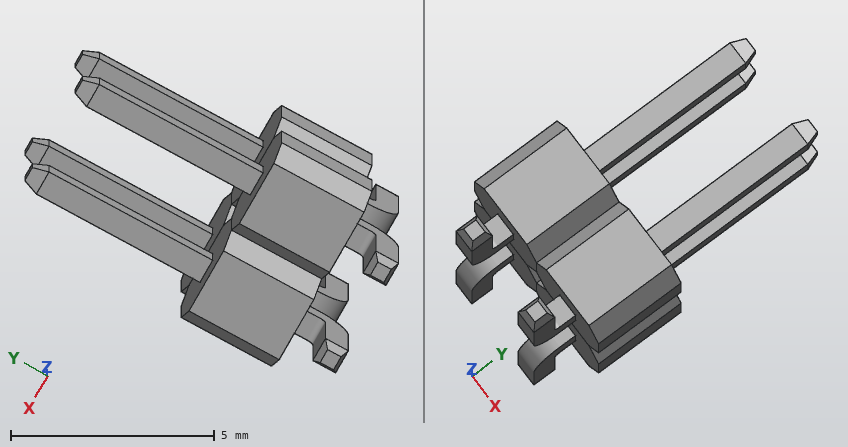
import cadquery as cq
import math


TOTAL_LENGTH = 8.82
TOTAL_HEIGHT = 7.39

PITCH = 2.54
CORNER_X = 0.4
CORNER_Z = 0.71

PIN_WIDTH = 0.64
LEG_REACH = 1.28
BEND_INNER_RADIUS = 0.17
TIP_LENGTH = 0.4
TIP_WIDTH = 0.38

LEG_FRONT_Y = -TOTAL_LENGTH / 2
LEG_BACK_Y = LEG_FRONT_Y + PIN_WIDTH
HOUSING_FRONT_Y = LEG_FRONT_Y + LEG_REACH
TAIL_SHOULDER_Y = TOTAL_LENGTH / 2 - TIP_LENGTH
BEND_CENTER_Y = LEG_BACK_Y + BEND_INNER_RADIUS
BEND_OUTER_RADIUS = BEND_INNER_RADIUS + PIN_WIDTH
LEG_SHOULDER_RISE = (TOTAL_HEIGHT - PITCH) / 2 - TIP_LENGTH


def make_housing(x, z):
    """Octagonal block around the pin axis (x, z), with a square through hole."""
    half = PITCH / 2
    flat_x = half - CORNER_X
    flat_z = half - CORNER_Z
    outline = [
        (-flat_x, -half), (flat_x, -half), (half, -flat_z), (half, flat_z),
        (flat_x, half), (-flat_x, half), (-half, flat_z), (-half, -flat_z),
    ]
    front_plane = cq.Workplane("XZ", origin=(x, HOUSING_FRONT_Y, z))
    block = front_plane.polyline(outline).close().extrude(-PITCH)
    pin_hole = front_plane.rect(PIN_WIDTH, PIN_WIDTH).extrude(-PITCH)
    return block.cut(pin_hole)


def make_tip(base_plane):
    """Square tip tapering away from the given base plane."""
    return (
        base_plane.rect(PIN_WIDTH, PIN_WIDTH)
        .workplane(offset=TIP_LENGTH)
        .rect(TIP_WIDTH, TIP_WIDTH)
        .loft(combine=True)
    )


def make_upward_pin():
    """Bent pin with its straight part on the Y axis and its leg rising along Z."""
    half = PIN_WIDTH / 2
    bend_center_z = half + BEND_INNER_RADIUS
    diagonal = math.sqrt(0.5)

    def bend_middle(radius):
        return (BEND_CENTER_Y - radius * diagonal, bend_center_z - radius * diagonal)

    shank = (
        cq.Workplane("YZ")
        .moveTo(TAIL_SHOULDER_Y, -half)
        .lineTo(BEND_CENTER_Y, -half)
        .threePointArc(bend_middle(BEND_OUTER_RADIUS), (LEG_FRONT_Y, bend_center_z))
        .lineTo(LEG_FRONT_Y, LEG_SHOULDER_RISE)
        .lineTo(LEG_BACK_Y, LEG_SHOULDER_RISE)
        .lineTo(LEG_BACK_Y, bend_center_z)
        .threePointArc(bend_middle(BEND_INNER_RADIUS), (BEND_CENTER_Y, half))
        .lineTo(TAIL_SHOULDER_Y, half)
        .close()
        .extrude(half, both=True)
    )
    leg_center = (0, LEG_FRONT_Y + half, LEG_SHOULDER_RISE)
    leg_tip = make_tip(cq.Workplane("XY", origin=leg_center))
    tail_plane = cq.Plane(origin=(0, TAIL_SHOULDER_Y, 0), xDir=(1, 0, 0), normal=(0, 1, 0))
    tail_tip = make_tip(cq.Workplane(tail_plane))
    return shank.union(leg_tip).union(tail_tip)


def make_pin(x, z):
    """Pin on the axis (x, z); its leg points away from the middle height."""
    pin = make_upward_pin()
    if z < 0:
        pin = pin.mirror("XY")
    return pin.translate((x, 0, z))


housings = []
pins = []
for column_x in (-PITCH / 2, PITCH / 2):
    for row_z in (-PITCH / 2, PITCH / 2):
        housings.append(make_housing(column_x, row_z).solids().val())
        pins.append(make_pin(column_x, row_z).solids().val())

result = cq.Compound.makeCompound([*housings, *pins])